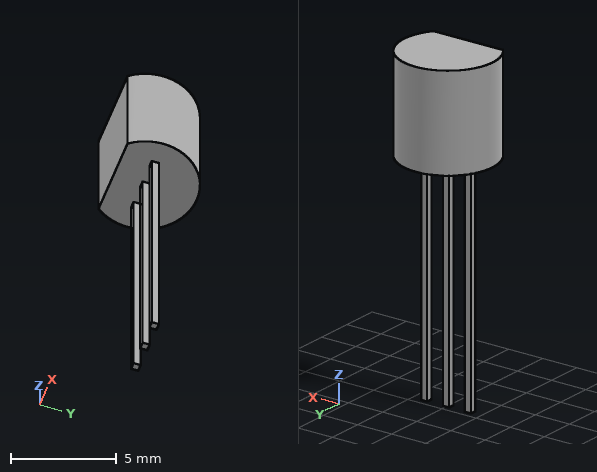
import cadquery as cq

total_height = 18.03

housing_diameter = 5.2
housing_radius = housing_diameter / 2
housing_depth = 4.2
housing_height = 5.34
housing_bottom = total_height - housing_height
flat_y = housing_radius - housing_depth

lead_count = 3
lead_width = 0.36
lead_pitch = 1.28
lead_length = housing_bottom


def make_housing():
    """D-shaped housing, with its round side towards +Y."""
    flat_half_width = (housing_radius**2 - flat_y**2) ** 0.5
    return (
        cq.Workplane("XY")
        .workplane(offset=housing_bottom)
        .moveTo(-flat_half_width, flat_y)
        .lineTo(flat_half_width, flat_y)
        .threePointArc((0, housing_radius), (-flat_half_width, flat_y))
        .close()
        .extrude(housing_height)
    )


def make_lead(x):
    """Straight square lead centred at the given X on the housing axis plane."""
    return cq.Workplane("XY").center(x, 0).rect(lead_width, lead_width).extrude(lead_length)


housing = make_housing()

leads = []
for index in range(lead_count):
    lead_x = (index - (lead_count - 1) / 2) * lead_pitch
    leads.append(make_lead(lead_x))

result = cq.Compound.makeCompound([housing.val(), *[lead.val() for lead in leads]])